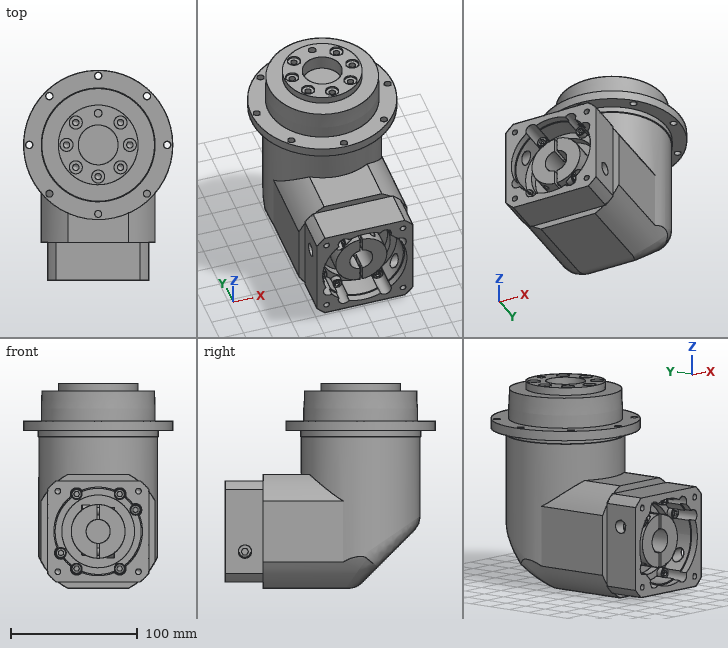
import cadquery as cq
import math


top_z = 117.0
output_disc_height = 6.0
output_disc_d = 63.0
output_bore_d = 31.5
output_bore_depth = 12.0
centering_top_d = 89.0
centering_d = 90.0
centering_taper_z = 97.0
flange_top_z = 87.0
flange_thickness = 7.5
flange_d = 118.0
collar_d = 95.0
collar_bottom_z = 75.0
collar_chamfer = 0.5

hole_count = 8
hole_step = 360.0 / hole_count
output_circle_d = 50.0
output_thread_d = 5.0
output_thread_depth = 12.0
output_counterbore_d = 10.3
output_counterbore_depth = 1.5
dowel_d = 6.0
dowel_depth = 7.0
flange_circle_d = 109.0
flange_hole_d = 5.5
drill_tip_angle = 118.0

tube_d = 94.0
prism_width = 90.0
prism_corner_d = 102.0
prism_face_y = -77.0
heel_offset = 41.5
heel_fillet = 15.0

adapter_width = 80.0
adapter_corner_d = 104.0
adapter_length = 30.0
adapter_face_y = prism_face_y - adapter_length
adapter_floor_depth = 23.0
adapter_bore_d = 68.0
pilot_d = 70.0
pilot_depth = 6.0
adapter_opening_d = 57.5
motor_circle_d = 90.0
motor_thread_d = 4.5
motor_thread_depth = 12.0

mount_circle_d = 68.0
screw_chamfer = 0.6
mount_angles = (30, 60, 120, 210, 240, 300)
mount_channel_d = 10.0
mount_head_d = 8.5
mount_head_height = 5.0
mount_socket_width = 4.0
mount_socket_depth = 2.5

hub_d = 42.5
hub_bore_d = 19.0
hub_face_y = adapter_face_y + 9.0
hub_bore_depth = 35.0
hub_slot_width = 2.2
hub_slot_depth = 16.0
clamp_y = adapter_face_y + 15.6
clamp_offset = 16.0
clamp_screw_d = 6.0
clamp_head_d = 10.0
clamp_head_height = 6.0
clamp_reach = 13.0
clamp_socket_width = 5.0
clamp_socket_depth = 3.0
clamp_access_d = 10.5


def hexagon_diameter(across_flats):
    return across_flats / math.cos(math.pi / 6)


def disc(diameter, bottom_z, upper_z):
    return cq.Workplane("XY").workplane(offset=bottom_z).circle(diameter / 2).extrude(upper_z - bottom_z)


def input_plane(y):
    """Plane square to the input axis with its normal pointing to +Y and local y pointing to -Z."""
    return cq.Workplane(cq.Plane(origin=(0, y, 0), xDir=(1, 0, 0), normal=(0, 1, 0)))


def input_disc(diameter, start_y, length):
    return input_plane(start_y).circle(diameter / 2).extrude(length)


def turned_square(width, corner_d, start_y, length):
    """Square bar along Y whose corners are turned down to a diameter."""
    square = input_plane(start_y).rect(width, width).extrude(length)
    return square.intersect(input_disc(corner_d, start_y, length))


def drilled_hole(diameter, depth):
    """Blind hole going down from the origin along -Z with a conical drill tip."""
    radius = diameter / 2
    tip = radius / math.tan(math.radians(drill_tip_angle / 2))
    outline = [(0, 0), (radius, 0), (radius, -depth), (0, -depth - tip)]
    return cq.Workplane("XZ").polyline(outline).close().revolve(360, (0, 0, 0), (0, 1, 0))


def output_stage():
    """Turned upper part: output disc, centering diameter, mounting flange and collar."""
    disc_r = output_disc_d / 2
    shoulder_z = top_z - output_disc_height
    flange_bottom_z = flange_top_z - flange_thickness
    outline = [
        (0, top_z),
        (disc_r, top_z),
        (disc_r, shoulder_z),
        (centering_top_d / 2, shoulder_z),
        (centering_d / 2, centering_taper_z),
        (centering_d / 2, flange_top_z),
        (flange_d / 2, flange_top_z),
        (flange_d / 2, flange_bottom_z),
        (collar_d / 2, flange_bottom_z),
        (collar_d / 2, collar_bottom_z),
        (collar_d / 2 - collar_chamfer, collar_bottom_z - collar_chamfer),
        (0, collar_bottom_z - collar_chamfer),
    ]
    stage = cq.Workplane("XZ").polyline(outline).close().revolve(360, (0, 0, 0), (0, 1, 0))
    stage = stage.cut(disc(output_bore_d, top_z - output_bore_depth, top_z))

    flange_holes = (
        cq.Workplane("XY").workplane(offset=flange_bottom_z)
        .polarArray(flange_circle_d / 2, 0, 360, hole_count)
        .circle(flange_hole_d / 2).extrude(flange_thickness)
    )
    stage = stage.cut(flange_holes)

    thread = drilled_hole(output_thread_d, output_thread_depth)
    thread = thread.union(disc(output_counterbore_d, -output_counterbore_depth, 0))
    thread = thread.translate((0, output_circle_d / 2, top_z))
    for position in range(1, hole_count):
        stage = stage.cut(thread.rotate((0, 0, 0), (0, 0, 1), position * hole_step))
    dowel_hole = disc(dowel_d, top_z - dowel_depth, top_z).translate((0, output_circle_d / 2, 0))
    return stage.cut(dowel_hole)


def heel_housing():
    """Round tube whose lower end is turned to the input side and closed by a sloped, rounded heel."""
    bottom_z = -prism_width / 2
    tube = disc(tube_d, bottom_z, collar_bottom_z)
    lower_block = cq.Workplane("XY").box(tube_d, tube_d, -bottom_z).translate((0, 0, bottom_z / 2))
    tube = tube.cut(lower_block.cut(input_disc(prism_corner_d, -tube_d / 2, tube_d)))

    heel_outline = [
        (tube_d, tube_d - heel_offset),
        (tube_d, -tube_d - heel_offset),
        (-tube_d, -tube_d - heel_offset),
    ]
    heel = cq.Workplane("YZ").polyline(heel_outline).close().extrude(tube_d, both=True)
    return tube.cut(heel).faces(">(0,1,-1)").edges().fillet(heel_fillet)


def elbow():
    """Heel housing joined to the square input side where its flats run out of the round tube."""
    flats_end_y = -math.sqrt((tube_d / 2) ** 2 - (prism_width / 2) ** 2)
    length = flats_end_y - prism_face_y
    prism = turned_square(prism_width, prism_corner_d, prism_face_y, length)
    front_space = cq.Workplane("XY").box(tube_d, length, prism_width / 2)
    front_space = front_space.translate((0, flats_end_y - length / 2, -prism_width / 4))
    return heel_housing().cut(front_space).union(prism)


def clamp_screw():
    """Clamp screw across the hub above the input axis, head towards -X."""
    plane = cq.Workplane("YZ", origin=(-clamp_reach, 0, 0)).center(clamp_y, clamp_offset)
    screw = plane.circle(clamp_screw_d / 2).extrude(2 * clamp_reach)
    screw = screw.faces(">X").chamfer(screw_chamfer)
    head = plane.circle(clamp_head_d / 2).extrude(clamp_head_height)
    head = head.faces("<X").chamfer(screw_chamfer)
    return screw.union(head)


def clamp_socket():
    """Clearance for the clamp screw head outside it, with its hexagon socket."""
    plane = cq.Workplane("YZ", origin=(-clamp_reach, 0, 0)).center(clamp_y, clamp_offset)
    clearance = plane.circle(clamp_access_d / 2).extrude(-hub_d)
    socket = plane.polygon(6, hexagon_diameter(clamp_socket_width)).extrude(clamp_socket_depth)
    return clearance.union(socket)


def both_clamps(shape):
    """The given shape and its copy turned half a turn about the input axis."""
    return [shape.rotate((0, 0, 0), (0, 1, 0), angle) for angle in (0, 180)]


def clamping_hub():
    hub = input_disc(hub_d, hub_face_y, prism_face_y - hub_face_y)
    slot = input_plane(hub_face_y).rect(hub_slot_width, hub_d).extrude(hub_slot_depth)
    hub = hub.cut(slot)
    for screw in both_clamps(clamp_screw()):
        hub = hub.union(screw)
    for socket in both_clamps(clamp_socket()):
        hub = hub.cut(socket)
    return hub


def make_gearbox():
    body = output_stage().union(elbow()).union(clamping_hub())
    return body.cut(input_disc(hub_bore_d, hub_face_y, hub_bore_depth))


def make_adapter():
    body = turned_square(adapter_width, adapter_corner_d, adapter_face_y, adapter_length)
    body = body.cut(input_disc(pilot_d, adapter_face_y, pilot_depth))
    body = body.cut(input_disc(adapter_bore_d, adapter_face_y, adapter_floor_depth))
    body = body.cut(input_disc(adapter_opening_d, adapter_face_y, adapter_length))

    motor_thread = drilled_hole(motor_thread_d, motor_thread_depth)
    motor_thread = motor_thread.rotate((0, 0, 0), (1, 0, 0), 90)
    motor_thread = motor_thread.translate((motor_circle_d / 2, adapter_face_y, 0))
    for angle in (45, 135, 225, 315):
        body = body.cut(motor_thread.rotate((0, 0, 0), (0, 1, 0), angle))

    access = cq.Workplane("YZ", origin=(-adapter_width / 2, 0, 0)).center(clamp_y, clamp_offset)
    for hole in both_clamps(access.circle(clamp_access_d / 2).extrude(adapter_width / 2)):
        body = body.cut(hole)

    floor_y = adapter_face_y + adapter_floor_depth
    head_y = floor_y - mount_head_height
    centre = (mount_circle_d / 2, 0)
    channel = input_plane(adapter_face_y).center(*centre).circle(mount_channel_d / 2)
    channel = channel.extrude(adapter_floor_depth)
    head = input_plane(head_y).center(*centre).circle(mount_head_d / 2).extrude(mount_head_height)
    head = head.faces("<Y").chamfer(screw_chamfer)
    socket = input_plane(head_y).center(*centre).polygon(6, hexagon_diameter(mount_socket_width))
    head = head.cut(socket.extrude(mount_socket_depth))
    for angle in mount_angles:
        body = body.cut(channel.rotate((0, 0, 0), (0, 1, 0), -angle))
        body = body.union(head.rotate((0, 0, 0), (0, 1, 0), -angle))
    return body.cut(input_disc(adapter_opening_d, adapter_face_y, adapter_length))


gearbox = make_gearbox()
adapter = make_adapter()

result = cq.Compound.makeCompound([gearbox.val(), adapter.val()])